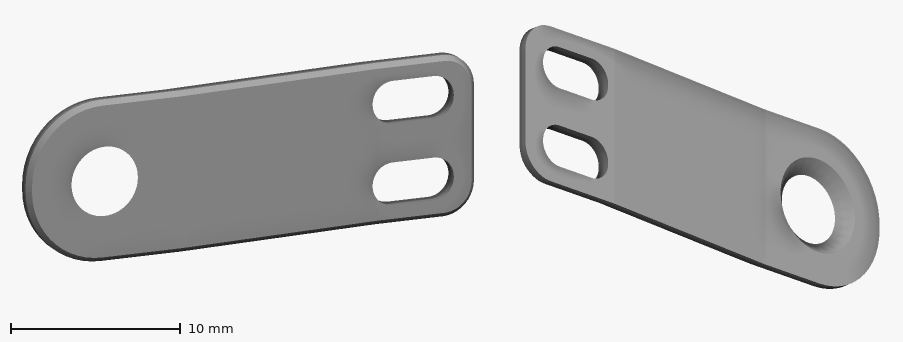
import cadquery as cq

length = 29.1
width = 9.9
thickness = 0.81
offset = 0.87
edge_chamfer = 0.3

slot_end_flat = 7.1
slope_length = 12.8
bend_stagger = 0.73

tip_radius = 4.8
corner_radius = 2.0

hole_radius = 2.12
countersink_radius = 2.97
hole_center_from_tip = 4.95

slot_length = 5.2
slot_width = 2.62
slot_spacing = 5.0
slot_center_from_end = 4.02

slot_end_y = length / 2
tip_y = -length / 2
hole_center_y = tip_y + hole_center_from_tip
first_bend_y = slot_end_y - slot_end_flat
second_bend_y = first_bend_y - slope_length


def make_bent_strip():
    """Side profile of the bent strip, extruded across the full width."""
    profile = [
        (0, slot_end_y),
        (0, first_bend_y),
        (offset, second_bend_y),
        (offset, tip_y),
        (offset + thickness, tip_y),
        (offset + thickness, second_bend_y + bend_stagger),
        (thickness, first_bend_y + bend_stagger),
        (thickness, slot_end_y),
    ]
    strip = cq.Workplane("XY").polyline(profile).close().extrude(width / 2, both=True)
    strip = strip.edges("|X and >Y").fillet(corner_radius)
    return strip.edges("|X and <Y").fillet(tip_radius)


def chamfer_outer_rim(strip):
    """Chamfer the whole rim of the three faces on the +X side."""
    outer_faces = [
        face
        for face in strip.faces().vals()
        if face.geomType() == "PLANE" and face.normalAt().x > 0
    ]
    rim = []
    for face in outer_faces:
        for edge in face.Edges():
            is_straight = edge.geomType() == "LINE"
            is_bend_line = is_straight and edge.BoundingBox().zlen > width - edge_chamfer
            if not is_bend_line:
                rim.append(edge)
    return strip.newObject(rim).chamfer(edge_chamfer)


def make_countersink():
    """Cone through the tip, wide on the -X face and narrow on the +X face."""
    return (
        cq.Workplane("YZ", origin=(offset, hole_center_y, 0))
        .circle(countersink_radius)
        .workplane(offset=thickness)
        .circle(hole_radius)
        .loft()
    )


def make_slots():
    """Two parallel slots through the flat end, running along Y."""
    slot_center_y = slot_end_y - slot_center_from_end
    return (
        cq.Workplane("YZ")
        .pushPoints([(slot_center_y, side * slot_spacing / 2) for side in (-1, 1)])
        .slot2D(slot_length, slot_width)
        .extrude(offset + thickness)
    )


result = chamfer_outer_rim(make_bent_strip()).cut(make_countersink()).cut(make_slots())